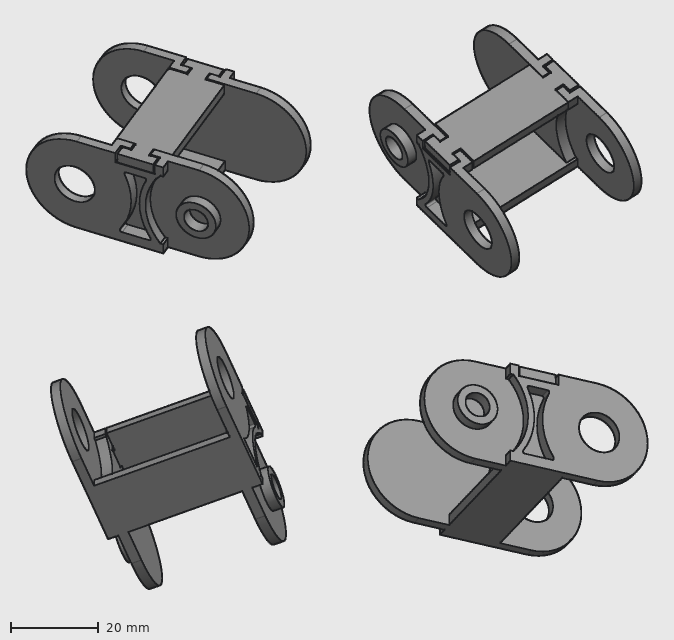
import cadquery as cq
import math

LENGTH = 55.0
WIDTH = 38.0
HEIGHT = 25.4
HALF_WIDTH = WIDTH / 2
HALF_HEIGHT = HEIGHT / 2
MID_X = LENGTH / 2

OUTER_PLATE_THICKNESS = 2.3
PIN_HEIGHT = 2.55
WALL_THICKNESS = 5.0
OUTER_PLATE_INSIDE = HALF_WIDTH - OUTER_PLATE_THICKNESS
INNER_PLATE_OUTSIDE = HALF_WIDTH - PIN_HEIGHT
WALL_INSIDE = HALF_WIDTH - WALL_THICKNESS

BLOCK_LENGTH = 14.1
BLOCK_LEFT = MID_X - BLOCK_LENGTH / 2
BLOCK_RIGHT = MID_X + BLOCK_LENGTH / 2
BAR_HEIGHT = 2.7
CLEARANCE_HALF_HEIGHT = HALF_HEIGHT - BAR_HEIGHT

CLEARANCE_RADIUS = 15.3
CLEARANCE_REACH = 2.6
CLEARANCE_CENTER_OFFSET = CLEARANCE_REACH + CLEARANCE_RADIUS

POCKET_HALF_WAIST = 1.05
POCKET_SIDE_RADIUS = CLEARANCE_CENTER_OFFSET - POCKET_HALF_WAIST
POCKET_TOP = 7.95
POCKET_BOTTOM = -CLEARANCE_HALF_HEIGHT
POCKET_CORNER_RADIUS = 0.5
POCKET_DEPTH = 3.0

HINGE_SPACING = 30.55
HOLE_X = MID_X - HINGE_SPACING / 2
PIN_X = MID_X + HINGE_SPACING / 2
HINGE_HOLE_DIAMETER = 10.1
PIN_DIAMETER = 10.0
PIN_BORE_DIAMETER = 6.05
PIN_BORE_DEPTH = POCKET_DEPTH

SLOT_X = MID_X - 0.08
SLOT_HEAD_LENGTH = 9.95
SLOT_THROAT_LENGTH = 5.0
SLOT_HEAD_INSIDE = 16.0

LID_THICKNESS = 2.55
LID_HEAD_LENGTH = 9.0
LID_NECK_LENGTH = 4.4
LID_SHIFT = 0.19
LID_HALF_WIDTH = HALF_WIDTH - LID_SHIFT
LID_HEAD_INSIDE = SLOT_HEAD_INSIDE + LID_SHIFT
LID_BAR_HALF_WIDTH = WALL_INSIDE - LID_SHIFT


def box(x_range, y_range, z_range):
    """Box between the given (low, high) limits along each axis."""
    limits = (x_range, y_range, z_range)
    size = [high - low for low, high in limits]
    corner = tuple(low for low, _ in limits)
    return cq.Workplane("XY").box(*size, centered=False).translate(corner)


def wall_sketch(outside):
    """Workplane facing -Y at y = -outside; a negative extrusion goes into the wall."""
    return cq.Workplane("XZ", origin=(0, -outside, 0))


def rounded_plate(end_sign, inside, outside):
    """Half of a link plate, from the far edge of the block to the round end on the given side."""
    block_edge = MID_X - end_sign * BLOCK_LENGTH / 2
    end_x = MID_X + end_sign * LENGTH / 2
    arc_x = end_x - end_sign * HALF_HEIGHT
    return (
        wall_sketch(outside)
        .moveTo(block_edge, -HALF_HEIGHT)
        .lineTo(arc_x, -HALF_HEIGHT)
        .threePointArc((end_x, 0), (arc_x, HALF_HEIGHT))
        .lineTo(block_edge, HALF_HEIGHT)
        .close()
        .extrude(inside - outside)
    )


def clearance(end_sign, inside, outside):
    """Space of a neighbouring link end, on the given side of the middle of the block."""
    reach = math.sqrt(CLEARANCE_RADIUS**2 - CLEARANCE_HALF_HEIGHT**2)
    curve_end_x = MID_X + end_sign * (CLEARANCE_CENTER_OFFSET - reach)
    block_edge = MID_X + end_sign * BLOCK_LENGTH / 2
    return (
        wall_sketch(outside)
        .moveTo(block_edge, -CLEARANCE_HALF_HEIGHT)
        .lineTo(curve_end_x, -CLEARANCE_HALF_HEIGHT)
        .threePointArc(
            (MID_X + end_sign * CLEARANCE_REACH, 0),
            (curve_end_x, CLEARANCE_HALF_HEIGHT),
        )
        .lineTo(block_edge, CLEARANCE_HALF_HEIGHT)
        .close()
        .extrude(inside - outside)
    )


def pocket_half_length(z):
    """Half of the pocket's length at height z."""
    return CLEARANCE_CENTER_OFFSET - math.sqrt(POCKET_SIDE_RADIUS**2 - z**2)


def pocket():
    """Waisted pocket with rounded corners."""
    half_top = pocket_half_length(POCKET_TOP)
    half_bottom = pocket_half_length(POCKET_BOTTOM)
    return (
        wall_sketch(HALF_WIDTH)
        .moveTo(MID_X - half_bottom, POCKET_BOTTOM)
        .lineTo(MID_X + half_bottom, POCKET_BOTTOM)
        .threePointArc((MID_X + POCKET_HALF_WAIST, 0), (MID_X + half_top, POCKET_TOP))
        .lineTo(MID_X - half_top, POCKET_TOP)
        .threePointArc((MID_X - POCKET_HALF_WAIST, 0), (MID_X - half_bottom, POCKET_BOTTOM))
        .close()
        .extrude(-POCKET_DEPTH)
        .edges("|Y")
        .fillet(POCKET_CORNER_RADIUS)
    )


def round_bar(x, diameter, depth):
    """Cylinder along Y that goes in from the outermost plane of the wall."""
    return wall_sketch(HALF_WIDTH).center(x, 0).circle(diameter / 2).extrude(-depth)


def lid_slot():
    """T-shaped slot through the top of the wall."""
    z_range = (CLEARANCE_HALF_HEIGHT, HALF_HEIGHT)
    head_x = (SLOT_X - SLOT_HEAD_LENGTH / 2, SLOT_X + SLOT_HEAD_LENGTH / 2)
    throat_x = (SLOT_X - SLOT_THROAT_LENGTH / 2, SLOT_X + SLOT_THROAT_LENGTH / 2)
    head = box(head_x, (-HALF_WIDTH, -SLOT_HEAD_INSIDE), z_range)
    throat = box(throat_x, (-SLOT_HEAD_INSIDE, -WALL_INSIDE), z_range)
    return head.union(throat)


def side_wall():
    """The wall on the -Y side."""
    outer_plate = rounded_plate(-1, OUTER_PLATE_INSIDE, HALF_WIDTH)
    inner_plate = rounded_plate(1, WALL_INSIDE, INNER_PLATE_OUTSIDE)
    block = box(
        (BLOCK_LEFT, BLOCK_RIGHT), (-HALF_WIDTH, -WALL_INSIDE), (-HALF_HEIGHT, HALF_HEIGHT)
    )
    return (
        outer_plate.union(inner_plate)
        .union(block)
        .cut(clearance(1, INNER_PLATE_OUTSIDE, HALF_WIDTH))
        .cut(clearance(-1, WALL_INSIDE, OUTER_PLATE_INSIDE))
        .union(round_bar(PIN_X, PIN_DIAMETER, PIN_HEIGHT))
        .cut(round_bar(PIN_X, PIN_BORE_DIAMETER, PIN_BORE_DEPTH))
        .cut(round_bar(HOLE_X, HINGE_HOLE_DIAMETER, OUTER_PLATE_THICKNESS))
        .cut(pocket())
        .cut(lid_slot())
    )


def make_housing():
    """Two mirrored side walls joined by the bottom cross bar."""
    wall = side_wall()
    bottom_bar = box(
        (BLOCK_LEFT, BLOCK_RIGHT),
        (-WALL_INSIDE, WALL_INSIDE),
        (-HALF_HEIGHT, -CLEARANCE_HALF_HEIGHT),
    )
    return wall.union(bottom_bar).union(wall.mirror("XZ"))


def make_lid():
    """Top cross bar with a neck and a head at each end."""
    z_range = (HALF_HEIGHT - LID_THICKNESS, HALF_HEIGHT)
    neck_x = (MID_X - LID_NECK_LENGTH / 2, MID_X + LID_NECK_LENGTH / 2)
    head_x = (MID_X - LID_HEAD_LENGTH / 2, MID_X + LID_HEAD_LENGTH / 2)
    bar = box((BLOCK_LEFT, BLOCK_RIGHT), (-LID_BAR_HALF_WIDTH, LID_BAR_HALF_WIDTH), z_range)
    necks = box(neck_x, (-LID_HALF_WIDTH, LID_HALF_WIDTH), z_range)
    head = box(head_x, (-LID_HALF_WIDTH, -LID_HEAD_INSIDE), z_range)
    return bar.union(necks).union(head).union(head.mirror("XZ")).translate((0, -LID_SHIFT, 0))


housing = make_housing()
lid = make_lid()
result = cq.Compound.makeCompound([housing.val(), lid.val()])